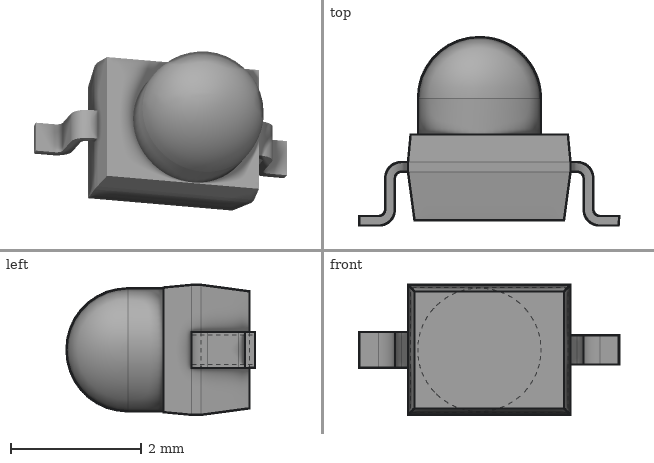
import cadquery as cq
import math

total_span = 4.0

housing_length = 2.5
housing_height = 2.0
base_y = 0.085
lens_face_y = 1.405
base_inset = 0.1
lens_face_inset = 0.04

lens_radius = 0.95
lens_offset_x = -0.15
lens_tip_y = 2.9
dome_center_y = lens_tip_y - lens_radius

lead_thickness = 0.15
lead_top_y = 0.98
lead_bottom_y = lead_top_y - lead_thickness
shank_inset = 0.4
bend_inner_radius = 0.1
bend_outer_radius = bend_inner_radius + lead_thickness
wide_lead_width = 0.55
narrow_lead_width = 0.45
narrow_toe_slant = 0.01


def block_section(y, inset):
    """Rectangle of the housing at height y, drawn in from the full outline by inset."""
    half_x = housing_length / 2 - inset
    half_z = housing_height / 2 - inset
    corners = [(-half_x, -half_z), (half_x, -half_z), (half_x, half_z), (-half_x, half_z)]
    return cq.Wire.makePolygon([cq.Vector(x, y, z) for x, z in corners], close=True)


def frustum(start_y, start_inset, end_y, end_inset):
    """Straight-sided block between two rectangular sections."""
    sections = [block_section(start_y, start_inset), block_section(end_y, end_inset)]
    return cq.Workplane(cq.Solid.makeLoft(sections, True))


def make_lens():
    """Cylinder with a hemispherical tip, revolved about an axis along Y."""
    tip = lens_tip_y - lens_face_y
    shoulder = dome_center_y - lens_face_y
    arc_middle = lens_radius * math.sqrt(0.5)
    return (
        cq.Workplane("XY", origin=(lens_offset_x, lens_face_y, 0))
        .lineTo(lens_radius, 0)
        .lineTo(lens_radius, shoulder)
        .threePointArc((arc_middle, shoulder + arc_middle), (0, tip))
        .close()
        .revolve(360, (0, 0, 0), (0, 1, 0))
    )


def make_housing():
    """Tapered block with its lens, one solid."""
    base = frustum(base_y, base_inset, lead_bottom_y, 0)
    band = frustum(lead_bottom_y, 0, lead_top_y, 0)
    cap = frustum(lead_top_y, 0, lens_face_y, lens_face_inset)
    return base.union(band).union(cap).union(make_lens())


def make_lead(side, width, toe_slant):
    """Z-bent strip running from the housing wall to its toe; side is -1 or +1 along X."""
    wall_x = housing_length / 2
    toe_x = total_span / 2
    shank_outer_x = toe_x - shank_inset
    shank_inner_x = shank_outer_x - lead_thickness
    outline = [
        (wall_x, lead_bottom_y),
        (shank_inner_x, lead_bottom_y),
        (shank_inner_x, 0),
        (toe_x - toe_slant, 0),
        (toe_x, lead_thickness),
        (shank_outer_x, lead_thickness),
        (shank_outer_x, lead_top_y),
        (wall_x, lead_top_y),
    ]
    strip = (
        cq.Workplane("XY")
        .polyline([(side * x, y) for x, y in outline])
        .close()
        .extrude(width / 2, both=True)
    )

    bends = [
        (shank_inner_x, lead_bottom_y, bend_inner_radius),
        (shank_inner_x, 0, bend_outer_radius),
        (shank_outer_x, lead_thickness, bend_inner_radius),
        (shank_outer_x, lead_top_y, bend_outer_radius),
    ]
    for x, y, radius in bends:
        corner = cq.selectors.NearestToPointSelector((side * x, y, 0))
        strip = strip.edges("|Z").edges(corner).fillet(radius)
    return strip


housing = make_housing()
wide_lead = make_lead(-1, wide_lead_width, 0)
narrow_lead = make_lead(1, narrow_lead_width, narrow_toe_slant)

result = cq.Compound.makeCompound([housing.val(), wide_lead.val(), narrow_lead.val()])